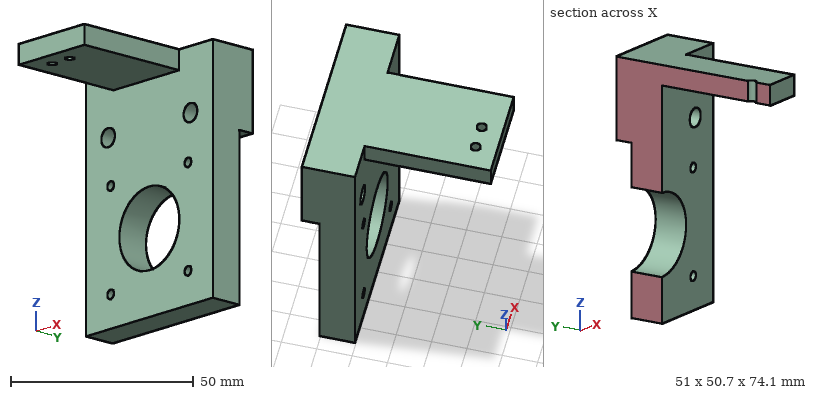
import cadquery as cq

width = 51.0
depth = 50.7
height = 74.1

plate_thickness = 10.1
block_thickness = 15.05
block_height = 24.0

shelf_width = 26.4
shelf_left = 11.1
shelf_thickness = 6.0
shelf_length = depth - block_thickness

bore_diameter = 24.0
bore_height = 25.4
screw_diameter = 2.7
screw_spacing = 31.05

mount_diameter = 5.5
mount_spacing = 33.05
mount_height = 55.0

shelf_hole_diameter = 2.7
shelf_hole_inset = 7.05
shelf_hole_spacing = 7.05
shelf_hole_setback = 6.0


def box(size_x, size_y, size_z, corner):
    """Box with its minimum corner at the given point."""
    return cq.Workplane("XY").box(size_x, size_y, size_z, centered=False).translate(corner)


def cross_holes(points, diameter):
    """Cylinders along Y through plate and block, at (x, z) points."""
    holes = cq.Workplane("XZ").pushPoints(points).circle(diameter / 2)
    return holes.extrude(-block_thickness)


plate = box(width, plate_thickness, height, (0, 0, 0))
block = box(width, block_thickness, block_height, (0, 0, height - block_height))
shelf_bottom = height - shelf_thickness
shelf = box(shelf_width, shelf_length, shelf_thickness, (shelf_left, -shelf_length, shelf_bottom))
body = plate.union(block).union(shelf)

middle = width / 2
screw_points = [
    (middle + side * screw_spacing / 2, bore_height + level * screw_spacing / 2)
    for side in (-1, 1)
    for level in (-1, 1)
]
mount_points = [(middle + side * mount_spacing / 2, mount_height) for side in (-1, 1)]

body = body.cut(cross_holes([(middle, bore_height)], bore_diameter))
body = body.cut(cross_holes(screw_points, screw_diameter))
body = body.cut(cross_holes(mount_points, mount_diameter))

shelf_hole_y = shelf_hole_setback - shelf_length
first_hole_x = shelf_left + shelf_hole_inset
shelf_hole_points = [
    (first_hole_x, shelf_hole_y),
    (first_hole_x + shelf_hole_spacing, shelf_hole_y),
]
shelf_holes = (
    cq.Workplane("XY", origin=(0, 0, shelf_bottom))
    .pushPoints(shelf_hole_points)
    .circle(shelf_hole_diameter / 2)
    .extrude(shelf_thickness)
)

result = body.cut(shelf_holes)